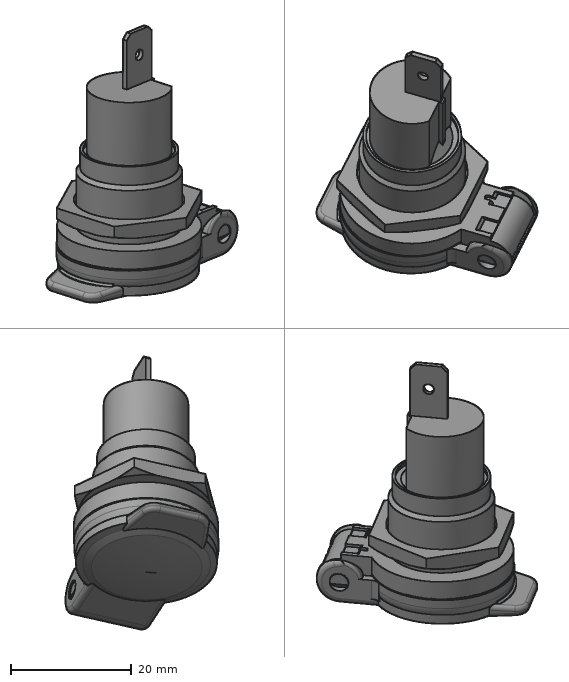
import cadquery as cq
import math

EMBED = 4.4

cap_radius = 12.02
cap_shift_y = -0.18
cap_rim_top = 6.45
cap_round_top = 4.95
cap_step_radius = 11.75
cap_step_top = 3.6
cap_bottom = 1.9
dome_radius = 10.6
dome_top = 1.65
dome_crown_radius = 9.2
dome_crown_height = 1.0
groove_radius = 11.75
flange_radius = 12.02
flange_bottom = 6.67
flange_top = 9.9
barrel_radius = 8.85
barrel_top = 19.5
sleeve_radius = 8.18
sleeve_bottom = 20.2
sleeve_top = 23.5
sleeve_bore_radius = 7.7
sleeve_bore_depth = 0.55

core_radius = 7.05
core_top = 34.5
core_flat_y = 4.95
flat_ramp_reach = 6.2
rib_width = 1.25
rib_y = 5.65

blade_thickness = 0.9
blade_width = 6.3
blade_center_y = 2.08
blade_top = 44.2
blade_corner = 0.97
blade_hole_diameter = 1.8
blade_hole_height = 39.8

nut_across_corners = 25.4
nut_bottom = 11.95
nut_top = 14.5
nut_recess_radius = 9.2
nut_recess_depth = 1.33
nut_chamfer_radius = 11.25
nut_chamfer_height = 0.65

hinge_y = 15.95
hinge_z = 5.5
hinge_radius = 4.0
ear_outer_x = 7.03
ear_inner_x = 5.52
ear_round = 1.0
ear_front_round = 0.5
ear_round_exit = math.radians(75)
ear_relief_z = 7.43
ear_relief_top_x = 6.55
ear_blend_radius = 1.75
ear_blend_sink = 0.15
knuckle_half_width = 5.4
knuckle_radius = 3.62
pin_radius = 1.6
pin_recess = 0.25
pin_bevel_z = 5.0
lid_bottom = hinge_z - hinge_radius

pocket_width = 3.0
pocket_center_x = 3.0
pocket_depth = 0.5
pocket_end_y = 13.05
slot_width = 0.95
slot_center_x = 2.8
slot_end_y = 11.9

tab_tip_y = -15.55
tab_root_y = -10.95
tab_root_half_width = 6.7
tab_slope = math.tan(math.radians(15.5))
tab_corner_radius = 2.65
tab_tip_top = 3.15
tab_root_top = 3.5
tab_edge_round = 0.75
tab_blend_radius = 0.4
tab_blend_wall = 11.95
tab_blend_top = 4.0
tab_blend_half_width = 5.85


def cylinder(radius, bottom, top):
    return cq.Workplane("XY").workplane(offset=bottom).circle(radius).extrude(top - bottom)


def box(x_range, y_range, z_range):
    """Box between the given limits along each axis."""
    sides = [high - low for low, high in (x_range, y_range, z_range)]
    return cq.Workplane("XY").box(*sides, centered=False).translate((x_range[0], y_range[0], z_range[0]))


def turn(outline):
    """Solid of revolution about Z from a closed (radius, height) outline."""
    return outline.revolve(360, (0, 0, 0), (0, 1, 0))


def hinge_cylinder(radius, half_length):
    """Cylinder along the hinge axis, centred on the part."""
    return cq.Workplane("YZ").center(hinge_y, hinge_z).circle(radius).extrude(half_length, both=True)


def make_cap():
    """Domed cap with a rounded step up to its rim."""
    dome_mid = (dome_crown_radius / 2, dome_crown_height / 4)
    round_rise = cap_round_top - cap_step_top
    round_run = cap_radius - cap_step_radius
    round_radius = (round_rise**2 + round_run**2) / (2 * round_run)
    outline = (
        cq.Workplane("XZ")
        .moveTo(0, 0)
        .threePointArc(dome_mid, (dome_crown_radius, dome_crown_height))
        .lineTo(dome_radius, dome_top)
        .lineTo(cap_step_radius, cap_bottom)
        .lineTo(cap_step_radius, cap_step_top)
        .radiusArc((cap_radius, cap_round_top), -round_radius)
        .lineTo(cap_radius, cap_rim_top)
        .lineTo(0, cap_rim_top)
        .close()
    )
    return turn(outline).translate((0, cap_shift_y, 0))


def make_housing():
    """Flange, plain barrel and recessed sleeve, on a neck that enters the cap."""
    bore_bottom = sleeve_top - sleeve_bore_depth
    outline = (
        cq.Workplane("XZ")
        .polyline(
            [
                (0, cap_round_top),
                (groove_radius, cap_round_top),
                (groove_radius, flange_bottom),
                (flange_radius, flange_bottom),
                (flange_radius, flange_top),
                (barrel_radius, flange_top),
                (barrel_radius, barrel_top),
                (sleeve_radius, sleeve_bottom),
                (sleeve_radius, sleeve_top),
                (sleeve_bore_radius, sleeve_top),
                (sleeve_bore_radius, bore_bottom),
                (0, bore_bottom),
            ]
        )
        .close()
    )
    return turn(outline)


def make_core():
    """Flatted core with a conical ramp at the foot of the flat and a rib up its middle."""
    foot = sleeve_top - sleeve_bore_depth
    core = cylinder(core_radius, foot, core_top)
    core = core.cut(box((-core_radius, core_radius), (core_flat_y, core_radius), (foot, core_top)))
    ramp_radius = flat_ramp_reach + sleeve_bore_depth
    ramp_points = [(0, foot), (ramp_radius, foot), (0, foot + ramp_radius)]
    ramp = turn(cq.Workplane("XZ").polyline(ramp_points).close())
    rib = box((-rib_width / 2, rib_width / 2), (0, rib_y), (foot, core_top))
    return core.union(ramp.intersect(cylinder(core_radius, foot, core_top))).union(rib)


def make_blade():
    foot = core_top - EMBED
    blade = (
        box(
            (-blade_thickness / 2, blade_thickness / 2),
            (blade_center_y - blade_width / 2, blade_center_y + blade_width / 2),
            (foot, blade_top),
        )
        .faces(">Z")
        .edges("|X")
        .chamfer(blade_corner)
    )
    hole = (
        cq.Workplane("YZ")
        .center(blade_center_y, blade_hole_height)
        .circle(blade_hole_diameter / 2)
        .extrude(blade_thickness, both=True)
    )
    return blade.cut(hole)


def make_nut():
    """Hexagon with its lower corners turned off and a clearance recess on top."""
    corner_radius = nut_across_corners / 2
    hexagon = (
        cq.Workplane("XY")
        .workplane(offset=nut_bottom)
        .polygon(6, nut_across_corners)
        .extrude(nut_top - nut_bottom)
    )
    envelope_points = [
        (0, nut_bottom),
        (nut_chamfer_radius, nut_bottom),
        (corner_radius, nut_bottom + nut_chamfer_height),
        (corner_radius, nut_top),
        (0, nut_top),
    ]
    envelope = turn(cq.Workplane("XZ").polyline(envelope_points).close())
    recess = cylinder(nut_recess_radius, nut_top - nut_recess_depth, nut_top)
    return hexagon.intersect(envelope).cut(recess)


def make_lid_hinge():
    """Two rounded ears joined by a thin web that wraps under and behind the knuckle."""
    root_y = cap_radius - EMBED
    back_y = hinge_y + hinge_radius
    top_z = hinge_z + hinge_radius
    arm_top_y = hinge_y - math.sqrt(hinge_radius**2 - (cap_rim_top - hinge_z) ** 2)
    lid = (
        cq.Workplane("YZ")
        .moveTo(root_y, lid_bottom)
        .lineTo(hinge_y, lid_bottom)
        .threePointArc((back_y, hinge_z), (hinge_y, top_z))
        .radiusArc((arm_top_y, cap_rim_top), -hinge_radius)
        .lineTo(root_y, cap_rim_top)
        .close()
        .extrude(ear_outer_x, both=True)
    )
    lid = lid.faces("<X or >X").edges("%CIRCLE").fillet(ear_front_round)

    sin_exit = math.sin(ear_round_exit)
    cos_exit = math.cos(ear_round_exit)
    exit_point = (hinge_y + hinge_radius * cos_exit, hinge_z + hinge_radius * sin_exit)
    tangent_top = exit_point[1] + (exit_point[0] - root_y) * cos_exit / sin_exit
    envelope = (
        cq.Workplane("YZ")
        .moveTo(root_y, lid_bottom)
        .lineTo(hinge_y, lid_bottom)
        .threePointArc((back_y, hinge_z), exit_point)
        .lineTo(root_y, tangent_top)
        .close()
        .extrude(ear_outer_x, both=True)
    )
    envelope = envelope.faces("<X or >X").edges("not <Y").fillet(ear_round)
    lid = lid.intersect(envelope)

    knuckle_space = (
        cq.Workplane("YZ")
        .moveTo(root_y, hinge_z - knuckle_radius)
        .lineTo(hinge_y, hinge_z - knuckle_radius)
        .radiusArc((hinge_y + knuckle_radius, hinge_z), -knuckle_radius)
        .lineTo(back_y, hinge_z)
        .lineTo(back_y, top_z)
        .lineTo(root_y, top_z)
        .close()
        .extrude(ear_inner_x, both=True)
    )
    notch = box(
        (slot_center_x - slot_width / 2, slot_center_x + slot_width / 2),
        (hinge_y + knuckle_radius, back_y),
        (lid_bottom, hinge_z),
    )
    lid = lid.cut(knuckle_space).cut(notch)

    relief = (
        cq.Workplane("XZ", origin=(0, arm_top_y, 0))
        .polyline([(ear_inner_x, ear_relief_z), (ear_relief_top_x, top_z), (ear_inner_x, top_z)])
        .close()
        .extrude(arm_top_y - back_y)
    )
    return lid.cut(relief).cut(relief.mirror("YZ"))


def make_ear_blend():
    """Concave blend on the +X side, tangent to the ear and running just into the cap's rim."""
    seat_radius = cap_radius - ear_blend_sink
    blend_x = ear_outer_x + ear_blend_radius
    reach = seat_radius + ear_blend_radius
    blend_y = math.sqrt(reach**2 - blend_x**2)
    on_cap = (blend_x * seat_radius / reach, blend_y * seat_radius / reach)
    return (
        cq.Workplane("XY")
        .workplane(offset=cap_bottom + ear_round)
        .moveTo(ear_inner_x, blend_y)
        .lineTo(ear_outer_x, blend_y)
        .radiusArc(on_cap, -ear_blend_radius)
        .lineTo(ear_inner_x, cap_radius - EMBED)
        .close()
        .extrude(cap_rim_top - cap_bottom - ear_round)
    )


def make_pin_end():
    """Cutter that sinks the +X pin end and bevels its lower part."""
    bevel = pin_bevel_z - (hinge_z - pin_radius)
    face_x = ear_outer_x - pin_recess
    space = (
        cq.Workplane("XZ", origin=(0, hinge_y, 0))
        .polyline(
            [
                (face_x, hinge_z + pin_radius),
                (face_x, pin_bevel_z),
                (face_x - bevel, pin_bevel_z - bevel),
                (ear_outer_x, pin_bevel_z - bevel),
                (ear_outer_x, hinge_z + pin_radius),
            ]
        )
        .close()
        .extrude(pin_radius, both=True)
    )
    return hinge_cylinder(pin_radius, ear_outer_x).intersect(space)


def make_hinge_block():
    """Knuckle block fixed to the flange, with two spring pockets open to the back."""
    root_y = cap_radius - EMBED
    knuckle_bottom = hinge_z - knuckle_radius
    half = knuckle_half_width
    block = box((-half, half), (root_y, hinge_y), (knuckle_bottom, flange_top))
    block = block.union(hinge_cylinder(knuckle_radius, half))

    floor = flange_top - pocket_depth
    pocket = (
        cq.Workplane("YZ")
        .polyline(
            [
                (pocket_end_y, flange_top),
                (pocket_end_y + pocket_depth, floor),
                (hinge_y, floor),
                (hinge_y, flange_top),
            ]
        )
        .close()
        .extrude(pocket_width / 2, both=True)
    )
    for x in (-pocket_center_x, pocket_center_x):
        block = block.cut(pocket.translate((x, 0, 0)))

    slot_length = hinge_y - slot_end_y
    slot = (
        cq.Workplane("XY")
        .workplane(offset=floor)
        .center(-slot_center_x, slot_end_y + slot_length / 2)
        .slot2D(slot_length, slot_width, 90)
        .extrude(pocket_depth)
    )
    return block.cut(slot)


def tab_outline():
    """Tapered tab plan with rounded front corners, as a tall prism."""
    base_y = -cap_radius + EMBED
    base_half = tab_root_half_width + (base_y - tab_root_y) * tab_slope
    tip_half = tab_root_half_width - (tab_root_y - tab_tip_y) * tab_slope
    prism = (
        cq.Workplane("XY")
        .workplane(offset=lid_bottom)
        .polyline([(-base_half, base_y), (base_half, base_y), (tip_half, tab_tip_y), (-tip_half, tab_tip_y)])
        .close()
        .extrude(cap_rim_top - lid_bottom)
    )
    return prism.edges("|Z and <Y").fillet(tab_corner_radius)


def make_tab():
    """Thumb tab with a sloping top and rounded edges."""
    outline = tab_outline()
    rise = (tab_root_top - tab_tip_top) / (cap_radius + tab_tip_y)
    base_y = -cap_radius + EMBED
    base_top = tab_tip_top + rise * (tab_tip_y - base_y)
    side = (
        cq.Workplane("YZ")
        .polyline([(base_y, lid_bottom), (base_y, base_top), (tab_tip_y, tab_tip_top), (tab_tip_y, lid_bottom)])
        .close()
        .extrude(cap_radius, both=True)
    )
    tab = outline.intersect(side)
    return tab.faces(">Z or <Z").edges("not >Y").fillet(tab_edge_round)


def make_tab_blend():
    """Concave strip between the tab's top and the cap's side."""
    foot_z = tab_blend_top - tab_blend_radius
    foot_radius = tab_blend_wall + tab_blend_radius
    inner_radius = cap_step_radius - tab_blend_radius
    outline = (
        cq.Workplane("XZ")
        .moveTo(inner_radius, tab_tip_top)
        .lineTo(foot_radius, tab_tip_top)
        .lineTo(foot_radius, foot_z)
        .radiusArc((tab_blend_wall, tab_blend_top), tab_blend_radius)
        .lineTo(inner_radius, tab_blend_top)
        .close()
    )
    strip = box(
        (-tab_blend_half_width, tab_blend_half_width),
        (-foot_radius, -cap_radius + EMBED),
        (tab_tip_top, tab_blend_top),
    )
    return turn(outline).intersect(strip).translate((0, cap_shift_y, 0))


result = make_cap()
pin = hinge_cylinder(pin_radius, ear_inner_x)
ear_blend = make_ear_blend()
pin_cut = make_pin_end()
parts = [make_housing(), make_core(), make_blade(), make_nut()]
parts += [make_lid_hinge(), ear_blend, ear_blend.mirror("YZ")]
parts += [make_hinge_block(), pin, make_tab(), make_tab_blend()]
for part in parts:
    result = result.union(part)
for cutter in (pin_cut, pin_cut.mirror("YZ")):
    result = result.cut(cutter)